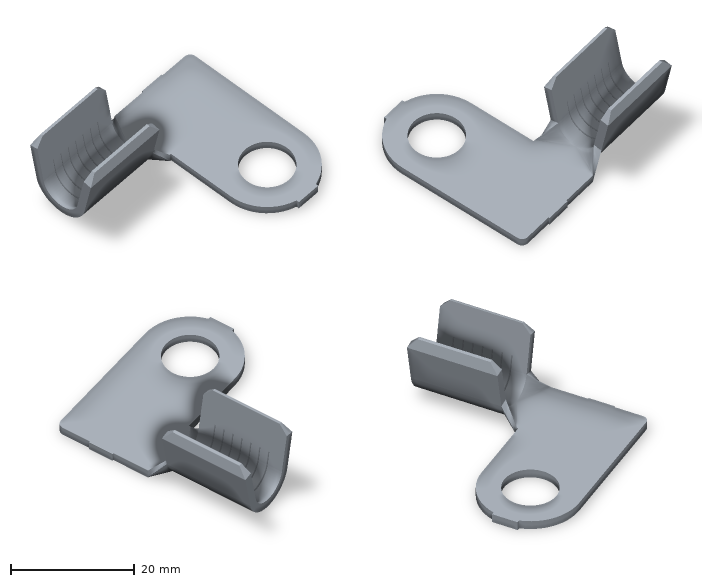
import cadquery as cq
import math


sheet = 1.6
barrel_length = 16.5
barrel_height = 13.46
inner_radius = 3.77
outer_radius = inner_radius + sheet
wall_lean = math.radians(11)
tip_land = 0.56
tip_bevel_length = 1.65

serration_count = 7
serration_pitch = 1.77
serration_width = 0.25
serration_depth = 0.15
serration_reach = 2.6

transition_length = 3.2
neck_width = 12.1
neck_step = 0.27

tongue_depth = 17.75
tongue_radius = tongue_depth / 2
hole_diameter = 9.5
hole_x = 19.05
corner_radius = 1.2
tab_width = 4.65
tab_left_projection = 0.22
tab_right_x = 28.13

neck_y = barrel_length + transition_length
tongue_y = neck_y + neck_step
half_neck = neck_width / 2
tongue_left = -half_neck
tongue_center_y = tongue_y + tongue_radius
bend_center_z = outer_radius

lean_sin = math.sin(wall_lean)
lean_cos = math.cos(wall_lean)
inner_run = (barrel_height - bend_center_z + inner_radius * lean_sin) / lean_cos


def wall_point(radius, run):
    """XZ point on the right wall, `run` up along it from the end of the bend."""
    x = radius * lean_cos + run * lean_sin
    z = bend_center_z - radius * lean_sin + run * lean_cos
    return (x, z)


def mirrored(point):
    return (-point[0], point[1])


def trace_bend(sketch, radius, side):
    """Continue a sketch round the bend, finishing on the given side."""
    bend_end = wall_point(radius, 0)
    end = bend_end if side > 0 else mirrored(bend_end)
    return sketch.threePointArc((0, bend_center_z - radius), end)


def barrel_profile():
    """Closed U section with bevelled tips, in the XZ plane at the rear end."""
    outer_end = wall_point(outer_radius, inner_run - tip_bevel_length)
    land_end = wall_point(inner_radius + tip_land, inner_run)
    inner_end = wall_point(inner_radius, inner_run)
    section = cq.Workplane("XZ").moveTo(*mirrored(outer_end))
    section = section.lineTo(*mirrored(wall_point(outer_radius, 0)))
    section = trace_bend(section, outer_radius, 1)
    section = section.lineTo(*outer_end).lineTo(*land_end).lineTo(*inner_end)
    section = section.lineTo(*wall_point(inner_radius, 0))
    section = trace_bend(section, inner_radius, -1)
    section = section.lineTo(*mirrored(inner_end)).lineTo(*mirrored(land_end))
    return section.close()


def tip_corner_cutter(side, y_end, inward):
    """Wedge that bevels one end of a wall tip, cut square through the wall."""
    tip = wall_point(inner_radius, inner_run)
    plane = cq.Plane(
        origin=(side * tip[0], y_end, tip[1]),
        xDir=(0, inward, 0),
        normal=(side * lean_cos, 0, -lean_sin),
    )
    up = 1 if plane.yDir.z > 0 else -1
    wedge = cq.Workplane(plane).polyline([
        (0, 0),
        (tip_bevel_length, 0),
        (0, -up * tip_bevel_length),
    ])
    return wedge.close().extrude(sheet, both=True)


def make_barrel():
    barrel = barrel_profile().extrude(-barrel_length)
    for side in (-1, 1):
        barrel = barrel.cut(tip_corner_cutter(side, 0, 1))
        barrel = barrel.cut(tip_corner_cutter(side, barrel_length, -1))
    return barrel


def make_serration(center_y):
    """V-shaped groove cutter that follows the inside of the barrel."""
    start = wall_point(inner_radius, serration_reach)
    path = cq.Workplane("XZ", origin=(0, center_y, 0)).moveTo(*mirrored(start))
    path = path.lineTo(*mirrored(wall_point(inner_radius, 0)))
    path = trace_bend(path, inner_radius, 1).lineTo(*start)
    plane = cq.Plane(
        origin=(-start[0], center_y, start[1]),
        xDir=(0, 1, 0),
        normal=(lean_sin, 0, -lean_cos),
    )
    half_width = serration_width / 2
    groove = cq.Workplane(plane).polyline([
        (-half_width, 0),
        (half_width, 0),
        (0, -serration_depth),
    ])
    return groove.close().sweep(path)


def cut_serrations(barrel):
    first_center = (barrel_length - (serration_count - 1) * serration_pitch) / 2
    for index in range(serration_count):
        barrel = barrel.cut(make_serration(first_center + index * serration_pitch))
    return barrel


def flat_face(*corners):
    return cq.Face.makeFromWires(cq.Wire.makePolygon(corners, close=True))


def bend_point(side, radius, angle):
    """Point on the bend where the barrel meets the flare, angle measured up from horizontal."""
    x = side * radius * math.cos(angle)
    z = bend_center_z + radius * math.sin(angle)
    return cq.Vector(x, barrel_length, z)


def flaring_faces(radius, neck_z):
    """Skin from one bend radius to the neck: a flat triangle between two half cones.

    Each cone has its apex on a neck corner and its base on half of the bend.
    """
    neck_corners = [cq.Vector(side * half_neck, neck_y, neck_z) for side in (-1, 1)]
    bend_bottom = cq.Vector(0, barrel_length, bend_center_z - radius)
    faces = [flat_face(*neck_corners, bend_bottom)]
    end_angle = -wall_lean
    middle_angle = (end_angle - math.pi / 2) / 2
    for side, apex in zip((-1, 1), neck_corners):
        bend_middle = bend_point(side, radius, middle_angle)
        bend_end = bend_point(side, radius, end_angle)
        half_bend = cq.Edge.makeThreePointArc(bend_bottom, bend_middle, bend_end)
        apex_vertex = cq.Vertex.makeVertex(*apex.toTuple())
        faces += cq.occ_impl.shapes.loft(half_bend, apex_vertex).Faces()
    return faces


def make_transition():
    """Flare from the bend of the barrel to the flat neck."""
    faces = flaring_faces(outer_radius, 0) + flaring_faces(inner_radius, sheet)
    for side in (-1, 1):
        neck_side = cq.Edge.makeLine(
            cq.Vector(side * half_neck, neck_y, 0),
            cq.Vector(side * half_neck, neck_y, sheet),
        )
        bend_end = cq.Edge.makeLine(
            bend_point(side, outer_radius, -wall_lean),
            bend_point(side, inner_radius, -wall_lean),
        )
        faces.append(cq.Face.makeRuledSurface(neck_side, bend_end))
    faces.append(
        flat_face(
            cq.Vector(-half_neck, neck_y, 0),
            cq.Vector(half_neck, neck_y, 0),
            cq.Vector(half_neck, neck_y, sheet),
            cq.Vector(-half_neck, neck_y, sheet),
        )
    )
    bend_section = cq.Workplane("XZ", origin=(0, barrel_length, 0))
    bend_section = bend_section.moveTo(*mirrored(wall_point(outer_radius, 0)))
    bend_section = trace_bend(bend_section, outer_radius, 1).lineTo(*wall_point(inner_radius, 0))
    bend_section = trace_bend(bend_section, inner_radius, -1).close()
    faces.append(cq.Face.makeFromWires(bend_section.val()))
    return cq.Workplane(cq.occ_impl.shapes.solid(faces))


def plate(x_min, x_max, y_min, y_max):
    size = (x_max - x_min, y_max - y_min, sheet)
    return cq.Workplane().box(*size, centered=False).translate((x_min, y_min, 0))


def make_tongue():
    tongue_top = tongue_y + tongue_depth
    tongue = plate(tongue_left, hole_x, tongue_y, tongue_top)
    tongue = tongue.edges("|Z and <X and >Y").fillet(corner_radius)
    ring = cq.Workplane(origin=(hole_x, tongue_center_y, 0)).circle(tongue_radius).extrude(sheet)
    tabs = plate(
        tongue_left - tab_left_projection,
        tab_right_x,
        tongue_center_y - tab_width / 2,
        tongue_center_y + tab_width / 2,
    )
    neck = plate(-half_neck, half_neck, neck_y, tongue_y)
    hole = cq.Workplane(origin=(hole_x, tongue_center_y, 0)).circle(hole_diameter / 2).extrude(sheet)
    return tongue.union(ring).union(tabs).union(neck).cut(hole)


result = cut_serrations(make_barrel()).union(make_transition()).union(make_tongue())